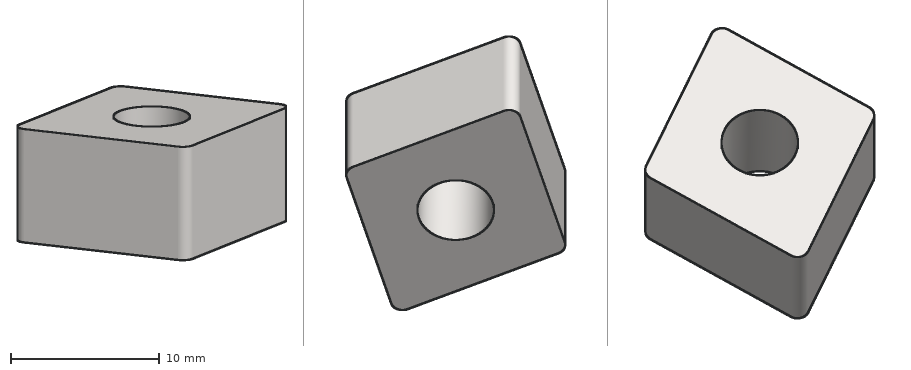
import cadquery as cq
import math

overall_length = 14.83
width = 12.7
thickness = 7.93
acute_angle = 80.0
corner_radius = 0.8
hole_diameter = 5.16

lean = width / math.tan(math.radians(acute_angle))

corner_loss = corner_radius * (1 / math.tan(math.radians(acute_angle / 2)) - 1)
side_length = overall_length + 2 * corner_loss - lean

half_width = width / 2
near_x = (side_length - lean) / 2
far_x = (side_length + lean) / 2
outline = [
    (-far_x, -half_width),
    (near_x, -half_width),
    (far_x, half_width),
    (-near_x, half_width),
]

body = cq.Workplane("XY").polyline(outline).close().extrude(thickness)
body = body.edges("|Z").fillet(corner_radius)

result = body.faces(">Z").workplane(origin=(0, 0, thickness)).circle(hole_diameter / 2).cutThruAll()